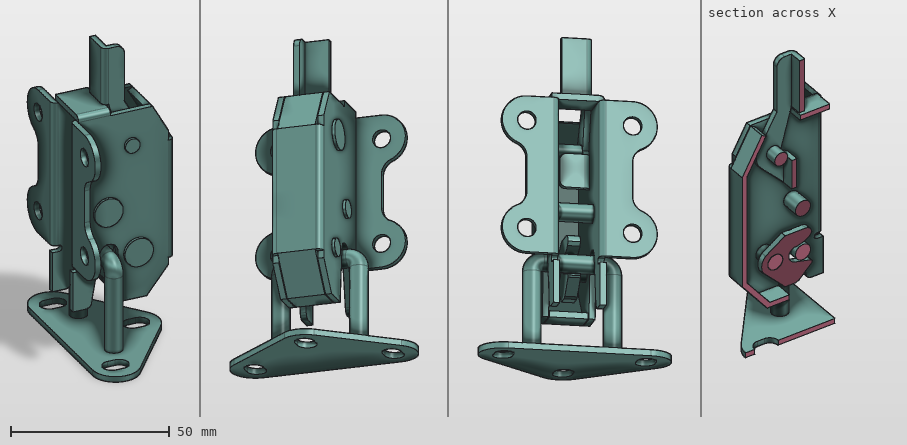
import cadquery as cq
import math


sheet = 2.0
bend_radius = 1.9
rod_radius = 3.0

housing_width = 17.0
housing_depth = 35.4
housing_bottom = 15.7
back_bottom = 27.7
back_top = 69.4
lower_slope_y = 25.8
upper_slope_y = 27.9
half_width = housing_width / 2
half_inside = half_width - sheet
panel_half_width = 6.2
bottom_lip_y = 17.3
tab_depth_end = 13.2

slot_y = 12.6
slot_arc_z = 33.8
slot_radius = 3.2
slot_front_y = 6.6
slot_front_z = 17.8
slot_corner_y = 4.7
slot_corner_radius = 2.0

hole_x = 17.0
hole_radius = 3.0
ear_radius = 7.9
lower_ear_z = 39.7
ear_spacing = 35.1
upper_ear_z = lower_ear_z + ear_spacing
flange_bottom = lower_ear_z - ear_radius
housing_top = upper_ear_z + ear_radius
neck_radius = 5.0
relief_height = 2.1
relief_depth = 3.4

lever_pin_place = (20.5, 70.7)
stop_pin_place = (12.2, 48.7)
hook_pin_place = (22.7, 32.2)
lever_pin_radius = 2.5
head_radius = 5.0
head_height = 1.0

lever_top = 105.7
lever_back = 19.0
grip_front = 11.5
grip_bottom = 85.7
foot_front = 14.5
foot_top = 68.7
foot_bottom = 57.7
lever_flange_left = -3.4
lever_hub_radius = 6.3
lever_top_round = 3.0
foot_corner_round = 2.0
waist_y = 17.7
waist_z = 70.7
lever_hub_start = 30
lever_hub_end = -45

hook_width = 4.0
hook_hub_radius = 5.3
hook_hub_start = -30
hook_hub_end = 45
hook_back = 19.0
hook_top = 40.9
hook_bottom = 21.2
nose_front = 8.8
nose_radius = 2.4
nose_lip = (9.5, 37.2)
throat_top = (15.5, 35.0)
throat_roof_middle = (12.4, 35.6)
throat_back = (17.4, 32.2)
throat_floor = (15.3, 29.5)
tip_top = (9.2, 28.0)
tip_front = (8.5, 27.3)
tip_bottom = (8.7, 26.6)
heel_front = (13.7, 21.8)
heel_bottom_y = 15.0

plate_corner_radius = 8.0
plate_side_x = 22.9
plate_apex_y = 26.1
plate_slot_length = 8.9
plate_slot_width = 6.2
leg_x = 13.0
striker_y = 12.2
bar_z = 32.0
striker_bend_radius = 3.5


def yz_plate(outline, x_from, x_to):
    """Extrude a closed (Y, Z) outline from x_from to x_to."""
    return outline.extrude(x_to - x_from).translate((x_from, 0, 0))


def box(x_range, y_range, z_range):
    size = [high - low for low, high in (x_range, y_range, z_range)]
    corner = (x_range[0], y_range[0], z_range[0])
    return cq.Workplane("XY").box(*size, centered=False).translate(corner)


def rod_along_x(place, radius, x_from, x_to):
    return yz_plate(cq.Workplane("YZ").center(*place).circle(radius), x_from, x_to)


def side_wall(x_from):
    """Flat side wall with the striker slot and the relief notch under the flange."""
    relief_bottom = flange_bottom - relief_height
    relief_radius = relief_height / 2
    relief_centre_y = relief_depth - relief_radius
    outline = (
        cq.Workplane("YZ")
        .moveTo(0, housing_bottom)
        .lineTo(0, relief_bottom)
        .lineTo(relief_centre_y, relief_bottom)
        .threePointArc((relief_depth, relief_bottom + relief_radius), (relief_centre_y, flange_bottom))
        .lineTo(sheet, flange_bottom)
        .lineTo(sheet, housing_top)
        .lineTo(upper_slope_y, housing_top)
        .lineTo(housing_depth, back_top)
        .lineTo(housing_depth, back_bottom)
        .lineTo(lower_slope_y, housing_bottom)
        .lineTo(bottom_lip_y, housing_bottom)
        .lineTo(slot_y + slot_radius, slot_arc_z)
        .threePointArc((slot_y, slot_arc_z + slot_radius), (slot_y - slot_radius, slot_arc_z))
        .lineTo(slot_front_y, slot_front_z)
        .radiusArc((slot_corner_y, housing_bottom), slot_corner_radius)
        .close()
    )
    wall = yz_plate(outline, x_from, x_from + sheet)
    bend_zone = box(
        (-half_width, half_width), (housing_depth - sheet, housing_depth), (housing_bottom, housing_top)
    )
    return wall.cut(bend_zone)


def back_wall():
    wall = box(
        (-half_width, half_width), (housing_depth - sheet, housing_depth), (back_bottom, back_top)
    )
    return wall.edges("|Z and >Y").fillet(bend_radius)


def sloped_panel(back_z, end_y, end_z):
    """Panel bent inwards from the back wall, given by its outer line."""
    run_y = end_y - housing_depth
    run_z = end_z - back_z
    scale = sheet / math.hypot(run_y, run_z)
    inward = (-abs(run_z) * scale, math.copysign(run_y, -run_z) * scale)
    outline = cq.Workplane("YZ").polyline(
        [
            (housing_depth, back_z),
            (end_y, end_z),
            (end_y + inward[0], end_z + inward[1]),
            (housing_depth + inward[0], back_z + inward[1]),
        ]
    ).close()
    return yz_plate(outline, -panel_half_width, panel_half_width)


def mounting_flange():
    """Flange on the +X side: two ears joined by a waist, bent outwards from the wall."""
    reach = ear_radius + neck_radius
    neck_rise = math.sqrt(reach**2 - neck_radius**2)
    touch_x = hole_x + neck_radius * ear_radius / reach
    touch_rise = neck_rise * ear_radius / reach
    ear_side_x = hole_x + ear_radius
    outline = (
        cq.Workplane("XZ")
        .moveTo(half_inside, flange_bottom)
        .lineTo(hole_x, flange_bottom)
        .threePointArc((ear_side_x, lower_ear_z), (touch_x, lower_ear_z + touch_rise))
        .radiusArc((hole_x, lower_ear_z + neck_rise), neck_radius)
        .lineTo(hole_x, upper_ear_z - neck_rise)
        .radiusArc((touch_x, upper_ear_z - touch_rise), neck_radius)
        .threePointArc((ear_side_x, upper_ear_z), (hole_x, upper_ear_z + ear_radius))
        .lineTo(half_inside, upper_ear_z + ear_radius)
        .close()
    )
    flange = outline.extrude(-sheet).edges("|Z and <X and <Y").fillet(bend_radius)
    holes = (
        cq.Workplane("XZ")
        .pushPoints([(hole_x, lower_ear_z), (hole_x, upper_ear_z)])
        .circle(hole_radius)
        .extrude(-sheet)
    )
    return flange.cut(holes)


def top_tab():
    tab = box((-half_width, half_width), (sheet, tab_depth_end), (housing_top, housing_top + sheet))
    return tab.edges("|Y and >X and >Z").fillet(bend_radius)


def make_housing():
    right_flange = mounting_flange()
    bottom_lip = box(
        (-panel_half_width, panel_half_width),
        (bottom_lip_y, lower_slope_y),
        (housing_bottom, housing_bottom + sheet),
    )
    housing = side_wall(-half_width)
    for piece in (
        side_wall(half_inside),
        back_wall(),
        sloped_panel(back_top, upper_slope_y, housing_top),
        sloped_panel(back_bottom, lower_slope_y, housing_bottom),
        bottom_lip,
        right_flange,
        right_flange.mirror("YZ"),
        top_tab(),
    ):
        housing = housing.union(piece)
    for place, radius in (
        (lever_pin_place, lever_pin_radius),
        (stop_pin_place, rod_radius),
        (hook_pin_place, rod_radius),
    ):
        housing = housing.cut(rod_along_x(place, radius, -half_width, half_width))
    return housing


def make_pin(place, radius, head_side):
    """Pin through both walls; head_side is +1 or -1 for the end with the wide head."""
    end = half_width + head_height
    shank = rod_along_x(place, radius, -end, end)
    head_from, head_to = sorted((head_side * half_width, head_side * end))
    return shank.union(rod_along_x(place, head_radius, head_from, head_to))


def on_circle(centre, radius, degrees):
    angle = math.radians(degrees)
    return (centre[0] + radius * math.cos(angle), centre[1] + radius * math.sin(angle))


def lever_flange(front, bottom, top):
    flange = box((lever_flange_left, half_inside), (front, front + sheet), (bottom, top))
    return flange.edges("|Z and >X and <Y").fillet(bend_radius)


def make_lever():
    arm_left = half_inside - sheet
    grip_back = grip_front + sheet
    foot_back = foot_front + sheet
    outline = (
        cq.Workplane("YZ")
        .moveTo(grip_back, lever_top)
        .lineTo(lever_back - lever_top_round, lever_top)
        .radiusArc((lever_back, lever_top - lever_top_round), lever_top_round)
        .lineTo(lever_back, grip_bottom)
        .lineTo(*on_circle(lever_pin_place, lever_hub_radius, lever_hub_start))
        .threePointArc(
            on_circle(lever_pin_place, lever_hub_radius, 0),
            on_circle(lever_pin_place, lever_hub_radius, lever_hub_end),
        )
        .lineTo(foot_back, foot_bottom)
        .lineTo(foot_back, foot_top)
        .lineTo(waist_y, waist_z)
        .lineTo(grip_back, grip_bottom)
        .close()
    )
    arm = yz_plate(outline, arm_left, half_inside)
    grip = lever_flange(grip_front, grip_bottom, lever_top)
    foot = lever_flange(foot_front, foot_bottom, foot_top)
    foot = foot.edges("|Y and <X").fillet(foot_corner_round)
    pin_hole = rod_along_x(lever_pin_place, lever_pin_radius, arm_left, half_inside)
    return arm.union(grip).union(foot).cut(pin_hole)


def make_hook():
    outline = (
        cq.Workplane("YZ")
        .moveTo(hook_back, hook_top)
        .lineTo(nose_front + nose_radius, hook_top)
        .radiusArc((nose_front, hook_top - nose_radius), -nose_radius)
        .lineTo(*nose_lip)
        .threePointArc(throat_roof_middle, throat_top)
        .threePointArc(throat_back, throat_floor)
        .lineTo(*tip_top)
        .lineTo(*tip_front)
        .lineTo(*tip_bottom)
        .lineTo(*heel_front)
        .lineTo(heel_bottom_y, hook_bottom)
        .lineTo(hook_back, hook_bottom)
        .lineTo(*on_circle(hook_pin_place, hook_hub_radius, hook_hub_start))
        .threePointArc(
            on_circle(hook_pin_place, hook_hub_radius, 0),
            on_circle(hook_pin_place, hook_hub_radius, hook_hub_end),
        )
        .close()
    )
    hook = yz_plate(outline, -hook_width / 2, hook_width / 2)
    return hook.cut(rod_along_x(hook_pin_place, rod_radius, -hook_width, hook_width))


def make_striker():
    corners = [
        (-plate_side_x, plate_corner_radius),
        (plate_side_x, plate_corner_radius),
        (0, plate_apex_y),
    ]
    outline = cq.Workplane("XY").polyline(corners).close().offset2D(plate_corner_radius)
    plate = outline.extrude(sheet)
    slots = (
        cq.Workplane("XY")
        .pushPoints(corners)
        .slot2D(plate_slot_length, plate_slot_width, 90)
        .extrude(sheet)
    )
    bend_x = leg_x - striker_bend_radius
    bend_z = bar_z - striker_bend_radius
    bend_mid = striker_bend_radius * math.sqrt(0.5)
    path = (
        cq.Workplane("XZ", origin=(0, striker_y, 0))
        .moveTo(leg_x, sheet)
        .lineTo(leg_x, bend_z)
        .threePointArc((bend_x + bend_mid, bend_z + bend_mid), (bend_x, bar_z))
        .lineTo(-bend_x, bar_z)
        .threePointArc((-bend_x - bend_mid, bend_z + bend_mid), (-leg_x, bend_z))
        .lineTo(-leg_x, sheet)
    )
    loop = cq.Workplane("XY", origin=(leg_x, striker_y, sheet)).circle(rod_radius).sweep(path)
    return plate.cut(slots).union(loop)


housing = make_housing()
lever_pin = make_pin(lever_pin_place, lever_pin_radius, -1)
stop_pin = make_pin(stop_pin_place, rod_radius, 1)
hook_pin = make_pin(hook_pin_place, rod_radius, 1)
lever = make_lever()
hook = make_hook()
striker = make_striker()

result = cq.Compound.makeCompound(
    [
        housing.val(),
        lever_pin.val(),
        stop_pin.val(),
        hook_pin.val(),
        lever.val(),
        hook.val(),
        striker.val(),
    ]
)